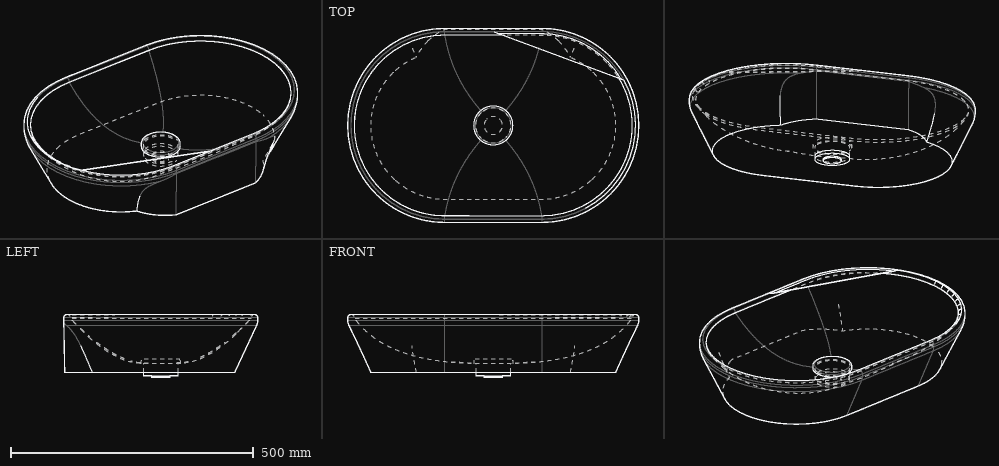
import cadquery as cq
import math

LENGTH = 600.0
WIDTH = 400.0
HEIGHT = 120.0
HALF_STRAIGHT = (LENGTH - WIDTH) / 2
FLARE_ANGLE = 25.0
RIM_BAND = 17.5
BAND_BLEND = 24.0
SEAM_REACH = 0.5

RIM_WIDTH = 14.0
RIM_DEPTH = 8.0
RIM_ROUND = 6.5
RIM_CREST = RIM_WIDTH / 2

FILLER_TOP_X = 198.0
FILLER_BASE_X = 163.0
FILLER_BASE_SIDE_Y = 129.0
FILLER_BASE_BACK_Y = 198.0
FILLER_BASE_BULGE = 9.5
FILLER_INNER_Y = 90.0
FILLER_TOP_Z = HEIGHT - RIM_DEPTH

WAIST_LENGTH = 450.0
WAIST_WIDTH = 263.0
WAIST_HALF_STRAIGHT = 84.0
WAIST_CROWN = 5.0
WAIST_Z = 59.0
LIP_CROWN = 0.05
FLOOR_RADIUS = 40.0
FLOOR_Z = 19.0
FLOOR_SIDE_ANGLE = 40.0

DECK_THICKNESS = 1.0
DECK_EDGE_START = (3.0, 192.0)
DECK_EDGE_END = (268.0, 93.5)

COVER_TOP_Z = 28.0
COVER_RADIUS = 40.0
COVER_ROUND = 3.5
SHANK_RADIUS = 36.0
SHANK_DROP = 6.5
TAIL_RADIUS = 18.5
TAIL_DROP = 9.5


def stadium(z, inset=0.0):
    """Outer outline of the basin, moved inward by inset, at height z."""
    return (
        cq.Workplane("XY", origin=(0, 0, z))
        .slot2D(LENGTH - 2 * inset, WIDTH - 2 * inset)
    )


def oval(z, length, width, half_straight, crown):
    """Wire of two end arcs and two long sides, which bulge by crown to the full width."""
    end_x = length / 2
    crest_y = width / 2
    side_y = crest_y - crown
    return (
        cq.Workplane("XY", origin=(0, 0, z))
        .moveTo(half_straight, -side_y)
        .threePointArc((end_x, 0), (half_straight, side_y))
        .threePointArc((0, crest_y), (-half_straight, side_y))
        .threePointArc((-end_x, 0), (-half_straight, -side_y))
        .threePointArc((0, -crest_y), (half_straight, -side_y))
        .close()
        .val()
    )


def make_shell():
    """Flared skirt and upright band, blended together."""
    band_z = HEIGHT - RIM_BAND
    skirt = (
        cq.Workplane("XY", origin=(0, 0, band_z))
        .transformed(rotate=(180, 0, 0))
        .slot2D(LENGTH, WIDTH)
        .extrude(band_z, taper=FLARE_ANGLE)
    )
    band = stadium(band_z).extrude(RIM_BAND)
    seam = cq.selectors.BoxSelector(
        (-LENGTH, -WIDTH, band_z - SEAM_REACH), (LENGTH, WIDTH, band_z + SEAM_REACH)
    )
    return skirt.union(band).edges(seam).fillet(BAND_BLEND)


def make_back_filler():
    """Ruled body from the curved rim down to a square-backed base."""
    end_radius = WIDTH / 2

    def rim_y(x):
        return math.sqrt(end_radius ** 2 - (x - HALF_STRAIGHT) ** 2)

    def section(z, side_x, side_y, straight_x, back_y, mid_x, mid_y):
        return (
            cq.Workplane("XY", origin=(0, 0, z))
            .moveTo(-side_x, FILLER_INNER_Y)
            .lineTo(-side_x, side_y)
            .threePointArc((-mid_x, mid_y), (-straight_x, back_y))
            .lineTo(straight_x, back_y)
            .threePointArc((mid_x, mid_y), (side_x, side_y))
            .lineTo(side_x, FILLER_INNER_Y)
            .close()
            .val()
        )

    top_mid_x = (FILLER_TOP_X + HALF_STRAIGHT) / 2
    top = section(
        FILLER_TOP_Z, FILLER_TOP_X, rim_y(FILLER_TOP_X),
        HALF_STRAIGHT, end_radius, top_mid_x, rim_y(top_mid_x),
    )
    corner_x = FILLER_BASE_X - HALF_STRAIGHT
    corner_y = FILLER_BASE_BACK_Y - FILLER_BASE_SIDE_Y
    chord = math.hypot(corner_x, corner_y)
    base = section(
        0, FILLER_BASE_X, FILLER_BASE_SIDE_Y, HALF_STRAIGHT, FILLER_BASE_BACK_Y,
        HALF_STRAIGHT + corner_x / 2 + FILLER_BASE_BULGE * corner_y / chord,
        FILLER_BASE_SIDE_Y + corner_y / 2 + FILLER_BASE_BULGE * corner_x / chord,
    )
    return cq.Workplane(obj=cq.Solid.makeLoft([base, top], True))


def make_bowl():
    """Hollow of the basin, from the round floor through the waist to the rim."""
    floor_angle = math.radians(FLOOR_SIDE_ANGLE)
    floor_half_side = FLOOR_RADIUS * math.sin(floor_angle)
    floor_crown = FLOOR_RADIUS * (1 - math.cos(floor_angle))
    lip_length = LENGTH - 2 * RIM_WIDTH
    lip_width = WIDTH - 2 * RIM_WIDTH
    sections = [
        oval(FLOOR_Z, 2 * FLOOR_RADIUS, 2 * FLOOR_RADIUS, floor_half_side, floor_crown),
        oval(WAIST_Z, WAIST_LENGTH, WAIST_WIDTH, WAIST_HALF_STRAIGHT, WAIST_CROWN),
        oval(HEIGHT - RIM_DEPTH, lip_length, lip_width, HALF_STRAIGHT, LIP_CROWN),
    ]
    return cq.Workplane(obj=cq.Solid.makeLoft(sections, False))


def make_deck():
    """Thin plate level with the rim crest, cut off by a straight edge."""
    corner = (
        cq.Workplane("XY", origin=(0, 0, HEIGHT - DECK_THICKNESS))
        .polyline([DECK_EDGE_START, DECK_EDGE_END, (LENGTH, DECK_EDGE_END[1]),
                   (LENGTH, WIDTH), (DECK_EDGE_START[0], WIDTH)])
        .close()
        .extrude(DECK_THICKNESS)
    )
    return stadium(HEIGHT - DECK_THICKNESS, RIM_CREST).extrude(DECK_THICKNESS).intersect(corner)


def make_basin():
    mouth = stadium(HEIGHT - RIM_DEPTH, RIM_WIDTH).extrude(RIM_DEPTH)
    basin = make_shell().cut(mouth).faces(">Z").edges().fillet(RIM_ROUND)
    basin = basin.union(make_back_filler()).cut(make_bowl())
    drain_hole = cq.Workplane("XY").circle(SHANK_RADIUS).extrude(COVER_TOP_Z)
    return basin.cut(drain_hole).union(make_deck())


def make_drain():
    shank = (
        cq.Workplane("XY", origin=(0, 0, -SHANK_DROP))
        .circle(SHANK_RADIUS)
        .extrude(SHANK_DROP + FLOOR_Z)
    )
    tail = (
        cq.Workplane("XY", origin=(0, 0, -TAIL_DROP))
        .circle(TAIL_RADIUS)
        .extrude(TAIL_DROP)
    )
    return shank.union(tail)


def make_cover():
    return (
        cq.Workplane("XY", origin=(0, 0, FLOOR_Z))
        .circle(COVER_RADIUS)
        .extrude(COVER_TOP_Z - FLOOR_Z)
        .faces(">Z").edges()
        .fillet(COVER_ROUND)
    )


basin = make_basin()
drain = make_drain()
cover = make_cover()
result = cq.Compound.makeCompound([basin.solids().val(), drain.solids().val(), cover.solids().val()])